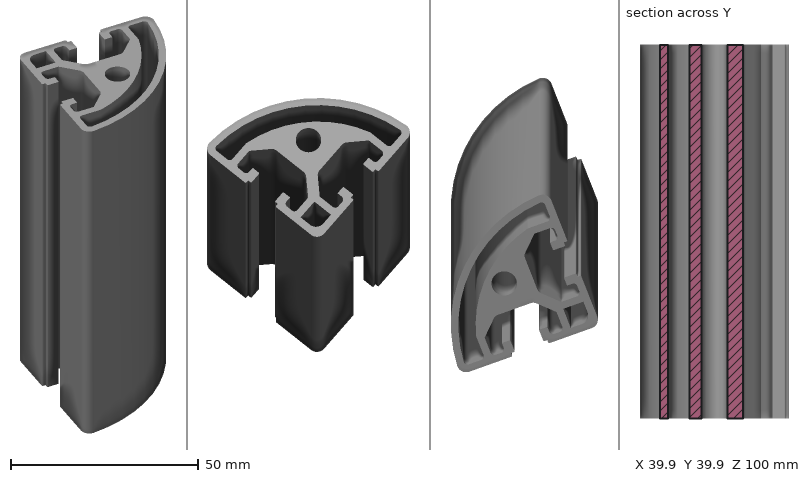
import cadquery as cq
import math

length = 100.0
outer_radius = 40.0
wall = 2.0
corner_radius = 2.5

center = outer_radius / 2
bore_diameter = 6.8

slot_opening = 8.2
slot_recess_width = 10.3
slot_recess_depth = 1.0
lip_depth = 4.5
lip_width = 2.4
slot_inner_width = 20.5
slot_depth = 12.3
slot_floor_width = 11.0
slot_corner_chamfer = (slot_inner_width - slot_floor_width) / 2
lip_pocket_fillet = 1.0
lip_edge_fillet = 0.25
slot_floor_fillet = 2.0

slot_wall = 2.0
crescent_inner_radius = 33.4
crescent_fillet = 1.0
crescent_start = center + slot_inner_width / 2 + slot_wall
corner_cavity_end = center - slot_inner_width / 2 - slot_wall


def point_on_arc(radius, x):
    """Point at x on a circle about the Z axis."""
    return (x, math.sqrt(radius**2 - x**2))


def diagonal_point(radius):
    """Point where a circle about the Z axis meets the diagonal."""
    return (radius * math.sqrt(0.5), radius * math.sqrt(0.5))


def swap(point):
    """Point mirrored across the X = Y diagonal."""
    return (point[1], point[0])


def round_edges(body, corners, radius):
    """Fillet the vertical edge of body at each (x, y) corner."""
    for x, y in corners:
        corner_edge = cq.selectors.NearestToPointSelector((x, y, length / 2))
        body = body.edges(corner_edge).fillet(radius)
    return body


def make_body():
    """Quarter disc with its three vertical edges rounded."""
    quarter = (
        cq.Workplane("XY")
        .lineTo(outer_radius, 0)
        .threePointArc(diagonal_point(outer_radius), (0, outer_radius))
        .close()
        .extrude(length)
    )
    return quarter.edges("|Z").fillet(corner_radius)


def make_bottom_slot():
    """T-slot cutter that opens through the Y = 0 side."""
    half_recess = slot_recess_width / 2
    half_opening = slot_opening / 2
    half_pocket = half_opening + lip_width
    half_inner = slot_inner_width / 2
    half_floor = slot_floor_width / 2
    shoulder = slot_depth - slot_corner_chamfer
    right_half = [
        (half_recess, 0),
        (half_recess, slot_recess_depth),
        (half_opening, slot_recess_depth),
        (half_opening, lip_depth),
        (half_pocket, lip_depth),
        (half_pocket, wall),
        (half_inner, wall),
        (half_inner, shoulder),
        (half_floor, slot_depth),
    ]
    left_half = [(-x, y) for x, y in reversed(right_half)]
    slot = (
        cq.Workplane("XY")
        .polyline(right_half + left_half)
        .close()
        .extrude(length)
    )
    rounded_corners = [
        (half_opening, slot_recess_depth, lip_edge_fillet),
        (half_opening, lip_depth, lip_edge_fillet),
        (half_pocket, wall, lip_pocket_fillet),
        (half_inner, wall, lip_pocket_fillet),
        (half_floor, slot_depth, slot_floor_fillet),
    ]
    for x, y, radius in rounded_corners:
        slot = round_edges(slot, [(x, y), (-x, y)], radius)
    return slot.translate((center, 0, 0))


def make_left_slot(bottom_slot):
    """The bottom slot mirrored across the X = Y diagonal."""
    return bottom_slot.mirror("XZ").rotate((0, 0, 0), (0, 0, 1), 90)


def make_crescent():
    """Curved cavity between the outer skin and the core."""
    cavity_radius = outer_radius - wall
    outer_tip = point_on_arc(cavity_radius, wall)
    outer_middle = diagonal_point(cavity_radius)
    inner_middle = diagonal_point(crescent_inner_radius)
    inner_tip = swap(point_on_arc(crescent_inner_radius, crescent_start))
    crescent = (
        cq.Workplane("XY")
        .moveTo(wall, crescent_start)
        .lineTo(*outer_tip)
        .threePointArc(outer_middle, swap(outer_tip))
        .lineTo(crescent_start, wall)
        .lineTo(*swap(inner_tip))
        .threePointArc(inner_middle, inner_tip)
        .close()
        .extrude(length)
    )
    end_corners = [
        (wall, crescent_start),
        outer_tip,
        swap(outer_tip),
        (crescent_start, wall),
    ]
    return round_edges(crescent, end_corners, crescent_fillet)


def make_corner_cavity():
    """Square cavity behind the outer corner, rounded on the corner side."""
    side = corner_cavity_end - wall
    cavity = (
        cq.Workplane("XY")
        .rect(side, side, centered=False)
        .extrude(length)
        .translate((wall, wall, 0))
    )
    return cavity.edges("|Z and <X and <Y").fillet(corner_radius)


def make_bore():
    """Round through hole in the middle of the core."""
    return cq.Workplane("XY").center(center, center).circle(bore_diameter / 2).extrude(length)


def round_slot_mouths(profile):
    """Soften the outermost edges of both slots."""
    bottom_corners = [(center + side * slot_recess_width / 2, 0) for side in (-1, 1)]
    left_corners = [swap(corner) for corner in bottom_corners]
    return round_edges(profile, bottom_corners + left_corners, lip_edge_fillet)


bottom_slot = make_bottom_slot()
profile = (
    make_body()
    .cut(bottom_slot)
    .cut(make_left_slot(bottom_slot))
    .cut(make_crescent())
    .cut(make_corner_cavity())
    .cut(make_bore())
)
result = round_slot_mouths(profile)